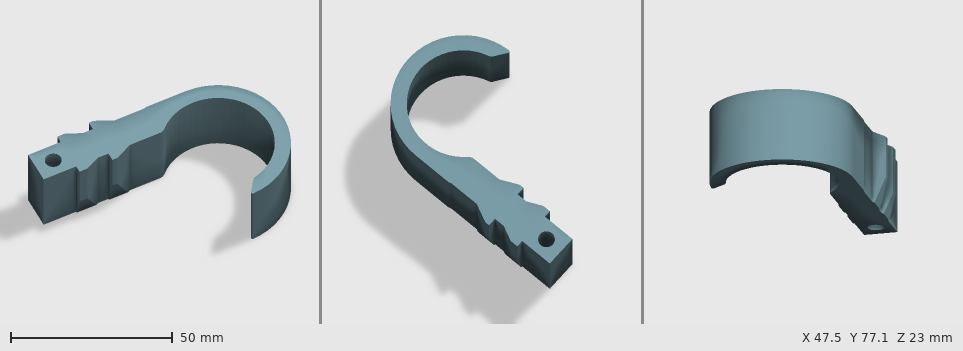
import cadquery as cq
import math

height = 23.0
outer_radius = 22.5
bore_radius = 17.5
tip_bore_angle = 12.0
tip_outer_angle = -0.3
tip_inner_fillet = 1.5
tip_outer_fillet = 0.5

shank_width = 10.68
shank_center_x = -16.87
shank_left = shank_center_x - shank_width / 2
shank_right = shank_center_x + shank_width / 2
shank_end_y = -54.56
throat_fillet = 3.0
step_bottom = 40.0
step_top = 41.15

barbs = [
    (15.3, 11.25, 13.95, 18.85),
    (16.26, 22.4, 24.0, 29.85),
]
barb_root_projection = 0.42
bevel_slope = 0.2377

hole_diameter = 5.2
hole_from_end = 6.0


def polar(radius, angle):
    """Point on a circle about the ring axis, angle in degrees."""
    radians = math.radians(angle)
    return (radius * math.cos(radians), radius * math.sin(radians))


def make_hook():
    """Ring and shank as one outline, with the tip and throat rounded."""
    throat_y = -math.sqrt(bore_radius**2 - shank_right**2)
    tip_bore = polar(bore_radius, tip_bore_angle)
    tip_outer = polar(outer_radius, tip_outer_angle)
    body = (
        cq.Workplane("XY")
        .moveTo(shank_left, shank_end_y)
        .lineTo(shank_right, shank_end_y)
        .lineTo(shank_right, throat_y)
        .threePointArc((0, bore_radius), tip_bore)
        .lineTo(*tip_outer)
        .threePointArc((0, outer_radius), (-outer_radius, 0))
        .lineTo(-outer_radius, shank_end_y + step_top)
        .lineTo(shank_left, shank_end_y + step_bottom)
        .close()
        .extrude(height)
    )
    rounded_corners = [
        ((shank_right, throat_y), throat_fillet),
        (tip_bore, tip_inner_fillet),
        (tip_outer, tip_outer_fillet),
    ]
    for (x, y), radius in rounded_corners:
        corner = cq.selectors.NearestToPointSelector((x, y, height / 2))
        body = body.edges("|Z").edges(corner).fillet(radius)
    return body


def make_barb(width, flat_start, flat_end, ramp_end):
    """Symmetric barb: square shoulder, short flat, then a ramp back to the shank."""
    half_width = width / 2
    half_shank = shank_width / 2
    return (
        cq.Workplane("XY", origin=(shank_center_x, shank_end_y, 0))
        .polyline([
            (-half_width, flat_start),
            (half_width, flat_start),
            (half_width, flat_end),
            (half_shank, ramp_end),
            (-half_shank, ramp_end),
            (-half_width, flat_end),
        ])
        .close()
        .extrude(height)
    )


def make_bevel_envelope():
    """Flared block that trims the lower part of the barbs to a slope on both sides."""
    length = max(ramp_end for _, _, _, ramp_end in barbs)
    half_bottom = shank_width / 2 + barb_root_projection
    half_top = half_bottom + bevel_slope * height
    return (
        cq.Workplane("XZ", origin=(shank_center_x, shank_end_y, 0))
        .polyline([
            (-half_bottom, 0),
            (half_bottom, 0),
            (half_top, height),
            (-half_top, height),
        ])
        .close()
        .extrude(-length)
    )


def make_hole():
    """Cylinder for the through hole near the shank end."""
    return (
        cq.Workplane("XY")
        .center(shank_center_x, shank_end_y + hole_from_end)
        .circle(hole_diameter / 2)
        .extrude(height)
    )


result = make_hook()
bevel_envelope = make_bevel_envelope()
for barb in barbs:
    result = result.union(make_barb(*barb).intersect(bevel_envelope))
result = result.cut(make_hole())